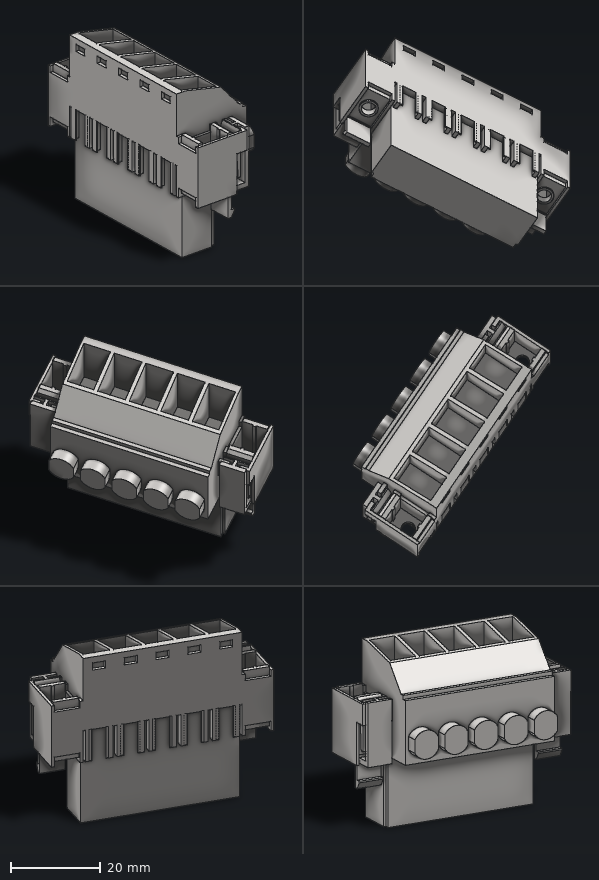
import cadquery as cq
import math

TOTAL_WIDTH = 53.35
POLES = 5
PITCH = TOTAL_WIDTH / (POLES + 2)
BODY_HALF = POLES * PITCH / 2
POLE_CENTRES = [(i - (POLES - 1) / 2) * PITCH for i in range(POLES)]
POLE_BORDERS = [(i - POLES / 2) * PITCH for i in range(POLES + 1)]
FLANGE_CENTRE = BODY_HALF + PITCH / 2

BODY_TOP = 41.45
BODY_BACK = 20.15
BODY_BOTTOM = 17.1
LEDGE_Y = 19.15
LEDGE_Z = 32.25
SHOULDER_Z = 33.25
SHOULDER_Y = 18.2
RIDGE_Y = 12.9
RIDGE_Z = 39.15
ROOF_FLAT = 2.55

PLUG_FRONT = 1.6
PLUG_STEP = 10.15
PLUG_BACK = 11.25

SKIRT_BOTTOM = 15.8
COMB_TOP = 23.5
WIDE_GAP = 3.4
LIP = 0.25
LIP_OVERHANG = 0.65
NARROW_GAP = 1.05

CHAMBER_FRONT = 2.1
CHAMBER_BACK = 11.95
CHAMBER_FLOOR = 29.35
PARTITION = 0.95
END_WALL = 0.75
WINDOW_WIDTH = 3.1
WINDOW_BOTTOM = 38.2
WINDOW_TOP = 39.95
WINDOW_DEPTH = 0.9

FLANGE_TOP = 30.95
FLANGE_BACK = 14.2
FLANGE_WALL = 0.75
FRONT_WALL = 0.8
REAR_WALL = 0.95
SIDE_OPENING_TOP = 25.9
NOTCH_FLOOR = 29.35
LOWER_NOTCH_TOP = 18.2
INNER_NOTCH_FRONT = 1.9
INNER_NOTCH_BACK = 9.5
KEY_SLOT = 2.55

LATCH_WIDTH = PITCH - 2 * FLANGE_WALL
LATCH_TOP = 31.4
BASE_BOTTOM = 16.75
BASE_TOP = LOWER_NOTCH_TOP
FRONT_PLATE_BACK = 1.9
BLOCK_FRONT = 9.2
BLOCK_DRAFT = 0.15
BLOCK_CHAMFER = 0.8
RIB_WIDTH = 0.8
RIB_DEPTH = 0.3
HOLE_Y = 5.05
HOLE_DIAMETER = 3.25
BOSS_DIAMETER = 4.3
LATCH_UNDERSIDE = 16.25

ARM_FRONT = 9.35
ARM_BACK = 10.3
ARM_BOTTOM = 10.0
HOOK_TOP = 12.0
HOOK_TIP = 11.65

GRIP_BACK = 15.3
FOOT_TOP = 17.55
TONGUE_BACK = 12.9
TONGUE_TOP_FRONT = 12.6
TONGUE_BULGE_Y = 11.65
TONGUE_BULGE_Z = 28.55
TONGUE_TIP_FRONT = 12.2
TONGUE_BOTTOM = 19.35

PLUNGER_BACK = 23.1
PLUNGER_Z = 22.2
PLUNGER_DIAMETER = 6.8
PLUNGER_FLATS = 6.0


def block(x0, x1, y0, y1, z0, z1):
    """Box between two corners."""
    return cq.Workplane("XY").box(x1 - x0, y1 - y0, z1 - z0, centered=False).translate((x0, y0, z0))


def centred_block(x, width, y0, y1, z0, z1):
    """Box centred on x."""
    return block(x - width / 2, x + width / 2, y0, y1, z0, z1)


def side_profile(points, x, width):
    """Prism along X, centred on x, with a (Y, Z) outline."""
    return cq.Workplane("YZ").polyline(points).close().extrude(width).translate((x - width / 2, 0, 0))


def main_block():
    outline = [
        (0, SKIRT_BOTTOM),
        (0, BODY_TOP),
        (ROOF_FLAT, BODY_TOP),
        (RIDGE_Y, RIDGE_Z),
        (SHOULDER_Y, SHOULDER_Z),
        (LEDGE_Y, SHOULDER_Z),
        (LEDGE_Y, LEDGE_Z),
        (BODY_BACK, LEDGE_Z),
        (BODY_BACK, BODY_BOTTOM),
        (PLUG_BACK, BODY_BOTTOM),
        (PLUG_BACK, SKIRT_BOTTOM),
    ]
    return side_profile(outline, 0, 2 * BODY_HALF)


def plug():
    front = centred_block(0, 2 * BODY_HALF, PLUG_FRONT, PLUG_STEP, 0, SKIRT_BOTTOM)
    rear_width = 2 * BODY_HALF - NARROW_GAP
    rear = centred_block(0, rear_width, PLUG_STEP, PLUG_BACK, 0, SKIRT_BOTTOM)
    return front.union(rear)


def wide_gap(x):
    """Gap that opens out behind a thin lip on each side."""
    lip = centred_block(x, WIDE_GAP, 0, LIP, SKIRT_BOTTOM, COMB_TOP)
    inner_width = WIDE_GAP + 2 * LIP_OVERHANG
    return lip.union(centred_block(x, inner_width, LIP, PLUG_FRONT, SKIRT_BOTTOM, COMB_TOP))


def cut_comb(body):
    for x in POLE_CENTRES:
        body = body.cut(wide_gap(x))
    for x in POLE_BORDERS:
        left = max(x - NARROW_GAP / 2, -BODY_HALF)
        right = min(x + NARROW_GAP / 2, BODY_HALF)
        body = body.cut(block(left, right, 0, PLUG_FRONT, SKIRT_BOTTOM, COMB_TOP))
    return body


def cut_chambers(body):
    for x in POLE_CENTRES:
        left = max(x - (PITCH - PARTITION) / 2, -BODY_HALF + END_WALL)
        right = min(x + (PITCH - PARTITION) / 2, BODY_HALF - END_WALL)
        body = body.cut(block(left, right, CHAMBER_FRONT, CHAMBER_BACK, CHAMBER_FLOOR, BODY_TOP))
        body = body.cut(centred_block(x, WINDOW_WIDTH, 0, WINDOW_DEPTH, WINDOW_BOTTOM, WINDOW_TOP))
    return body


def flange(side):
    """Open box at one end of the main block; side is -1 (left) or +1 (right)."""
    x = side * FLANGE_CENTRE
    shell = centred_block(x, PITCH, 0, PLUG_BACK, SKIRT_BOTTOM, FLANGE_TOP)
    shell = shell.union(centred_block(x, PITCH, PLUG_BACK, FLANGE_BACK, SIDE_OPENING_TOP, FLANGE_TOP))

    rear_face = FLANGE_BACK - REAR_WALL
    shell = shell.cut(centred_block(x, LATCH_WIDTH, FRONT_WALL, rear_face, SKIRT_BOTTOM, FLANGE_TOP))

    shell = shell.cut(centred_block(x, LATCH_WIDTH, 0, FRONT_WALL, NOTCH_FLOOR, FLANGE_TOP))
    shell = shell.cut(centred_block(x, LATCH_WIDTH, 0, FRONT_WALL, SKIRT_BOTTOM, LOWER_NOTCH_TOP))
    shell = shell.cut(centred_block(x, KEY_SLOT, rear_face, FLANGE_BACK, SIDE_OPENING_TOP, FLANGE_TOP))

    wall_x = side * (BODY_HALF + FLANGE_WALL / 2)
    shell = shell.cut(
        centred_block(wall_x, FLANGE_WALL, INNER_NOTCH_FRONT, INNER_NOTCH_BACK, NOTCH_FLOOR, FLANGE_TOP)
    )
    return shell.cut(centred_block(wall_x, FLANGE_WALL, PLUG_BACK, rear_face, SIDE_OPENING_TOP, FLANGE_TOP))


def make_housing():
    body = cut_chambers(cut_comb(main_block())).union(plug())
    for side in (-1, 1):
        body = body.union(flange(side))
    return body


def latch_frame(x):
    """Front plate, base with a bossed hole, and rear block with two guide ribs."""
    frame = centred_block(x, LATCH_WIDTH, FRONT_WALL, FRONT_PLATE_BACK, BASE_BOTTOM, LATCH_TOP)
    frame = frame.union(centred_block(x, LATCH_WIDTH, FRONT_WALL, PLUG_BACK, BASE_BOTTOM, BASE_TOP))
    block_top_back = PLUG_BACK - BLOCK_DRAFT
    rear_outline = [
        (BLOCK_FRONT, LATCH_UNDERSIDE),
        (BLOCK_FRONT, LATCH_TOP),
        (block_top_back - BLOCK_CHAMFER, LATCH_TOP),
        (block_top_back, LATCH_TOP - BLOCK_CHAMFER),
        (PLUG_BACK, LATCH_UNDERSIDE),
    ]
    frame = frame.union(side_profile(rear_outline, x, LATCH_WIDTH))
    for rib_y in (FRONT_PLATE_BACK, BLOCK_FRONT - RIB_DEPTH):
        frame = frame.union(centred_block(x, RIB_WIDTH, rib_y, rib_y + RIB_DEPTH, BASE_TOP, LATCH_TOP))

    bottom = cq.Workplane("XY").workplane(offset=LATCH_UNDERSIDE).center(x, HOLE_Y)
    frame = frame.union(bottom.circle(BOSS_DIAMETER / 2).extrude(BASE_TOP - LATCH_UNDERSIDE))
    return frame.cut(bottom.circle(HOLE_DIAMETER / 2).extrude(BASE_TOP - LATCH_UNDERSIDE))


def hook_arm(x):
    outline = [
        (ARM_FRONT, LATCH_UNDERSIDE),
        (ARM_FRONT, ARM_BOTTOM),
        (ARM_BACK, ARM_BOTTOM),
        (PLUG_BACK, HOOK_TIP),
        (PLUG_BACK, HOOK_TOP),
        (ARM_BACK, HOOK_TOP),
        (ARM_BACK, LATCH_UNDERSIDE),
    ]
    return side_profile(outline, x, LATCH_WIDTH)


def rear_grip(x):
    """Outer plate and foot, with a tongue carried on a thin upright web."""
    grip = centred_block(x, LATCH_WIDTH, FLANGE_BACK, GRIP_BACK, LATCH_UNDERSIDE, LATCH_TOP)
    grip = grip.union(centred_block(x, LATCH_WIDTH, PLUG_BACK, GRIP_BACK, LATCH_UNDERSIDE, FOOT_TOP))
    grip = grip.union(centred_block(x, RIB_WIDTH, TONGUE_BACK, FLANGE_BACK, FOOT_TOP, LATCH_TOP))
    grip = grip.union(
        centred_block(x, RIB_WIDTH, TONGUE_TIP_FRONT, TONGUE_BACK, FOOT_TOP, TONGUE_BOTTOM)
    )
    tongue_outline = [
        (TONGUE_BACK, LATCH_TOP),
        (TONGUE_TOP_FRONT, LATCH_TOP),
        (TONGUE_BULGE_Y, TONGUE_BULGE_Z),
        (TONGUE_TIP_FRONT, TONGUE_BOTTOM),
        (TONGUE_BACK, TONGUE_BOTTOM),
    ]
    return grip.union(side_profile(tongue_outline, x, LATCH_WIDTH))


def make_latch(x):
    return latch_frame(x).union(hook_arm(x)).union(rear_grip(x))


def make_plunger(x):
    length = PLUNGER_BACK - BODY_BACK
    radius = PLUNGER_DIAMETER / 2
    half_width = PLUNGER_FLATS / 2
    half_flat = math.sqrt(radius**2 - half_width**2)
    return (
        cq.Workplane("XZ", origin=(x, BODY_BACK, PLUNGER_Z))
        .moveTo(-half_width, -half_flat)
        .lineTo(-half_width, half_flat)
        .threePointArc((0, radius), (half_width, half_flat))
        .lineTo(half_width, -half_flat)
        .threePointArc((0, -radius), (-half_width, -half_flat))
        .close()
        .extrude(-length)
    )


housing = make_housing()
latches = [make_latch(side * FLANGE_CENTRE) for side in (-1, 1)]
plungers = [make_plunger(x) for x in POLE_CENTRES]

result = cq.Compound.makeCompound(
    [housing.val()] + [latch.val() for latch in latches] + [plunger.val() for plunger in plungers]
)